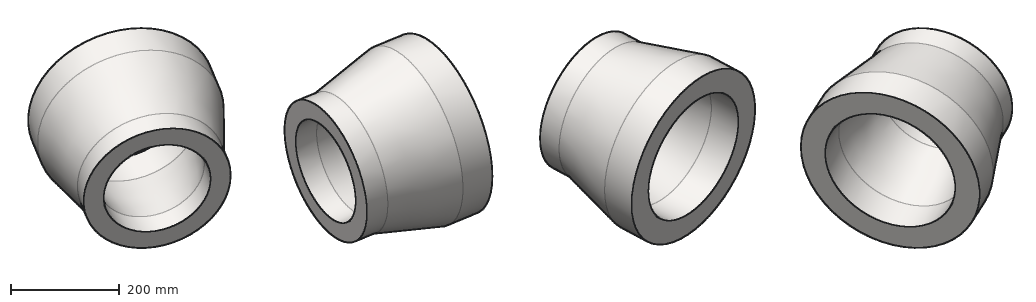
import cadquery as cq

large_outer_diameter = 355.0
large_bore_diameter = 258.0
small_outer_diameter = 280.0
small_bore_diameter = 203.5

total_length = 250.0
large_end_length = 65.0
small_end_length = 45.0
taper_end = total_length - small_end_length


def stepped_cone(large_diameter, small_diameter):
    """Solid of revolution: a large cylinder, a taper and a small cylinder."""
    large_radius = large_diameter / 2
    small_radius = small_diameter / 2
    return (
        cq.Workplane("XY")
        .moveTo(0, 0)
        .lineTo(0, large_radius)
        .lineTo(large_end_length, large_radius)
        .lineTo(taper_end, small_radius)
        .lineTo(total_length, small_radius)
        .lineTo(total_length, 0)
        .close()
        .revolve(360, (0, 0, 0), (1, 0, 0))
    )


body = stepped_cone(large_outer_diameter, small_outer_diameter)
bore = stepped_cone(large_bore_diameter, small_bore_diameter)
result = body.cut(bore)